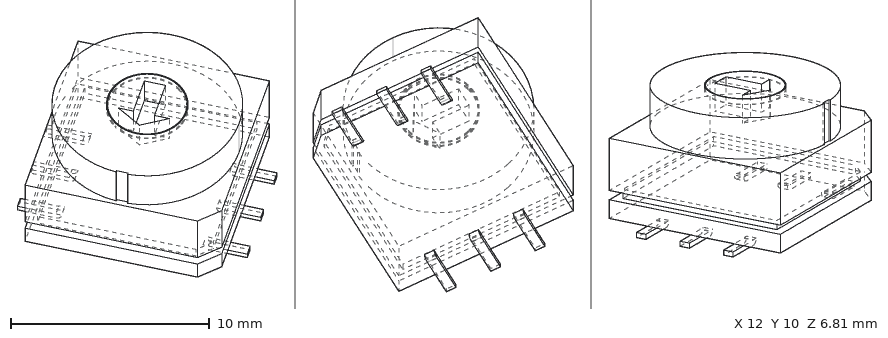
import cadquery as cq

overall_length = 12.0
body_side = 10.0
corner_cut = 1.0
neck_inset = 0.5
base_height = 1.01
neck_height = 0.49
body_height = 2.8

knob_diameter = 9.6
knob_height = 2.21
notch_width = 0.6
notch_depth = 0.1
groove_outer_diameter = 4.1
groove_inner_diameter = 4.0
groove_depth = 0.3

shaft_width = 1.1
head_width = 2.66
arrow_tail_y = 1.45
head_base_y = -0.64
arrow_tip_y = -1.46
arrow_depth = 1.5

lead_count_per_side = 3
lead_pitch = 2.55
lead_width = 0.55
lead_length = 2.3
lead_thickness = 0.28
lead_gap = 0.02

base_bottom = lead_thickness + lead_gap
neck_bottom = base_bottom + base_height
body_bottom = neck_bottom + neck_height
body_top = body_bottom + body_height
knob_top = body_top + knob_height


def housing_outline():
    """Square outline with the +X -Y corner cut off at 45 degrees."""
    half = body_side / 2
    return cq.Workplane("XY").polyline([
        (-half, -half),
        (half - corner_cut, -half),
        (half, -half + corner_cut),
        (half, half),
        (-half, half),
    ]).close()


def housing():
    base = housing_outline().extrude(base_height).translate((0, 0, base_bottom))
    neck = housing_outline().offset2D(-neck_inset).extrude(neck_height).translate((0, 0, neck_bottom))
    body = housing_outline().extrude(body_height).translate((0, 0, body_bottom))
    return base.union(neck).union(body)


def knob():
    knob_radius = knob_diameter / 2
    disc = cq.Workplane("XY").workplane(offset=body_top).circle(knob_radius).extrude(knob_height)
    notch = (
        cq.Workplane("XY")
        .workplane(offset=body_top)
        .center(0, -knob_radius)
        .rect(notch_width, 2 * notch_depth)
        .extrude(knob_height)
    )
    ring_groove = (
        cq.Workplane("XY")
        .workplane(offset=knob_top - groove_depth)
        .circle(groove_outer_diameter / 2)
        .circle(groove_inner_diameter / 2)
        .extrude(groove_depth)
    )
    return disc.cut(notch).cut(ring_groove).cut(arrow_slot())


def arrow_slot():
    half_shaft = shaft_width / 2
    half_head = head_width / 2
    return (
        cq.Workplane("XY")
        .workplane(offset=knob_top - arrow_depth)
        .polyline([
            (-half_shaft, arrow_tail_y),
            (-half_shaft, head_base_y),
            (-half_head, head_base_y),
            (0, arrow_tip_y),
            (half_head, head_base_y),
            (half_shaft, head_base_y),
            (half_shaft, arrow_tail_y),
        ])
        .close()
        .extrude(arrow_depth)
    )


def left_lead():
    """Lead on the -X side: a flat strip whose inner end curves up to the base."""
    outer_x = -overall_length / 2
    inner_x = outer_x + lead_length
    bend_radius = base_bottom
    return (
        cq.Workplane("XZ")
        .moveTo(outer_x, 0)
        .lineTo(inner_x - bend_radius, 0)
        .radiusArc((inner_x, bend_radius), -bend_radius)
        .lineTo(inner_x - bend_radius, base_bottom)
        .lineTo(inner_x - bend_radius, lead_thickness)
        .lineTo(outer_x, lead_thickness)
        .close()
        .extrude(lead_width / 2, both=True)
    )


result = housing().union(knob())
for row in range(lead_count_per_side):
    row_y = (row - (lead_count_per_side - 1) / 2) * lead_pitch
    lead = left_lead().translate((0, row_y, 0))
    result = result.union(lead).union(lead.mirror("YZ"))